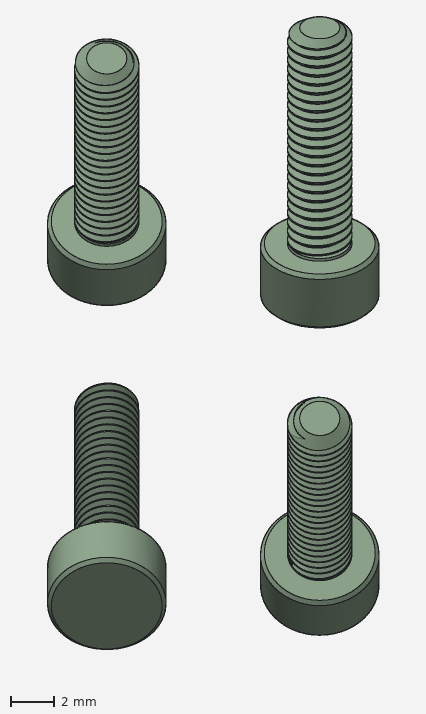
import cadquery as cq
import math

HEAD_DIAMETER = 5.5
HEAD_HEIGHT = 3.0
HEAD_CHAMFER = 0.18

SHANK_DIAMETER = 3.0
SHANK_LENGTH = 12.0
TIP_FLAT_RADIUS = 0.93
TIP_CHAMFER_HEIGHT = 0.42

COLLAR_HEIGHT = 0.12
COLLAR_TOP_RADIUS = 1.45

PITCH = 0.5
GROOVE_DEPTH = 0.29
FLANK_HALF_ANGLE = 30.0
CREST_WIDTH = 0.08
GROOVE_OVERSHOOT = 0.03
GROOVE_START_ANGLE = 90.0
GROOVE_START_Z = 2.725
GROOVE_TURNS = 24.25

SHANK_EMBED = 0.5
ENVELOPE_RADIUS = 1.6
ENVELOPE_BASE_Z = 1.0

HEAD_RADIUS = HEAD_DIAMETER / 2
SHANK_RADIUS = SHANK_DIAMETER / 2
TOTAL_LENGTH = HEAD_HEIGHT + SHANK_LENGTH


def revolve_profile(points):
    """Solid of revolution about Z from (radius, z) points."""
    profile = cq.Workplane("XZ").polyline(points).close()
    return profile.revolve(360, (0, 0, 0), (0, 1, 0))


def make_head():
    head = cq.Workplane("XY").circle(HEAD_RADIUS).extrude(HEAD_HEIGHT)
    return head.faces("|Z").edges().chamfer(HEAD_CHAMFER)


def make_collar_envelope():
    """Solid cone over the collar, trimmed off the groove so that the collar stays unthreaded.

    The cone carries the collar taper on downward, wide enough to hold the whole groove below the collar.
    """
    taper = (SHANK_RADIUS - COLLAR_TOP_RADIUS) / COLLAR_HEIGHT
    cone_base_z = HEAD_HEIGHT - (ENVELOPE_RADIUS - SHANK_RADIUS) / taper
    top_z = HEAD_HEIGHT + COLLAR_HEIGHT
    return revolve_profile([
        (0, ENVELOPE_BASE_Z),
        (ENVELOPE_RADIUS, ENVELOPE_BASE_Z),
        (ENVELOPE_RADIUS, cone_base_z),
        (COLLAR_TOP_RADIUS, top_z),
        (0, top_z),
    ])


def make_shank():
    base_z = HEAD_HEIGHT - SHANK_EMBED
    return revolve_profile([
        (0, base_z),
        (SHANK_RADIUS, base_z),
        (SHANK_RADIUS, TOTAL_LENGTH - TIP_CHAMFER_HEIGHT),
        (TIP_FLAT_RADIUS, TOTAL_LENGTH),
        (0, TOTAL_LENGTH),
    ])


def make_groove():
    """Trapezoidal groove swept along a helix, starting inside the head and running out at the tip."""
    slope = math.tan(math.radians(FLANK_HALF_ANGLE))
    mouth = (PITCH - CREST_WIDTH) / 2
    root_half_width = mouth - GROOVE_DEPTH * slope
    outer_half_width = mouth + GROOVE_OVERSHOOT * slope
    root_radius = SHANK_RADIUS - GROOVE_DEPTH
    outer_radius = SHANK_RADIUS + GROOVE_OVERSHOOT

    section = cq.Workplane("XZ").polyline([
        (root_radius, -root_half_width),
        (outer_radius, -outer_half_width),
        (outer_radius, outer_half_width),
        (root_radius, root_half_width),
    ]).close()
    helix = cq.Wire.makeHelix(PITCH, GROOVE_TURNS * PITCH, SHANK_RADIUS)
    groove = section.sweep(cq.Workplane(helix), isFrenet=True)
    groove = groove.rotate((0, 0, 0), (0, 0, 1), GROOVE_START_ANGLE)
    return groove.translate((0, 0, GROOVE_START_Z))


def make_threaded_shank():
    groove = make_groove().cut(make_collar_envelope())
    return make_shank().cut(groove)


result = make_threaded_shank().union(make_head())